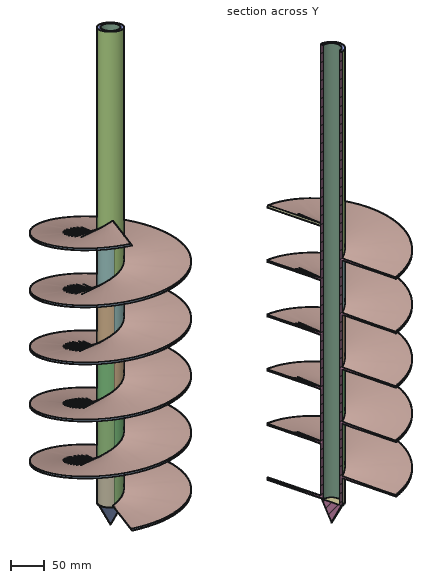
import cadquery as cq
import math

total_height = 785.0
flight_diameter = 238.0

tube_diameter = 40.0
bore_diameter = 30.0
tip_diameter = 38.0
tip_height = 34.5

flight_rise = 450.0
turns = 5
blade_thickness = 4.0
root_overlap = 1.5

pitch = flight_rise / turns
tube_radius = tube_diameter / 2
bore_radius = bore_diameter / 2
tip_radius = tip_diameter / 2
flight_radius = flight_diameter / 2


def make_shaft():
    """Revolve the tube with its solid conical tip about Z, apex at the origin."""
    return (
        cq.Workplane("XZ")
        .moveTo(0, 0)
        .lineTo(tip_radius, tip_height)
        .lineTo(tube_radius, tip_height)
        .lineTo(tube_radius, total_height)
        .lineTo(bore_radius, total_height)
        .lineTo(bore_radius, tip_height)
        .lineTo(0, tip_height)
        .close()
        .revolve(360, (0, 0), (0, 1))
    )


def make_flight():
    """Sweep a thin blade section, square to the helix at the tube wall, up from the tip base."""
    root_radius = tube_radius - root_overlap
    blade_width = flight_radius - root_radius
    lead_angle = math.degrees(math.atan2(pitch, 2 * math.pi * tube_radius))
    path = cq.Wire.makeHelix(pitch, flight_rise, tube_radius)
    blade = (
        cq.Workplane("XZ")
        .transformed(rotate=(lead_angle, 0, 0))
        .center(root_radius + blade_width / 2, blade_thickness / 2)
        .rect(blade_width, blade_thickness)
        .sweep(cq.Workplane(path), isFrenet=True)
    )
    return blade.translate((0, 0, tip_height))


result = make_shaft().union(make_flight())